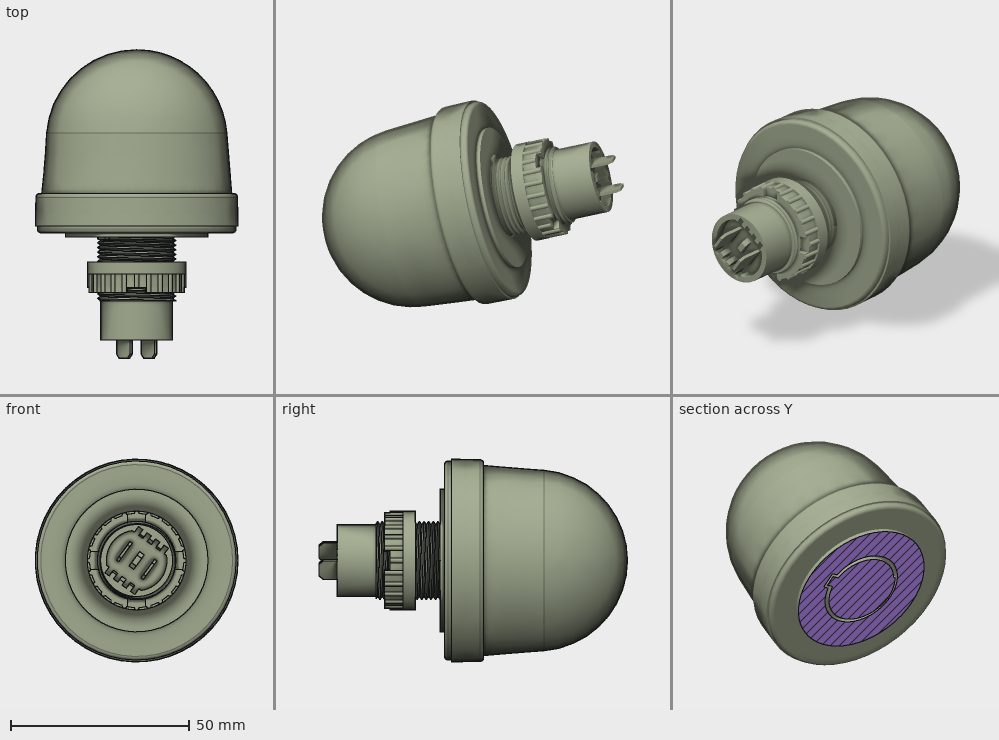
import cadquery as cq
import math


DOME_TOP = 52.53
DOME_RADIUS = 25.4
DOME_TAPER = math.radians(4.6)

DISC_RADIUS = 20.0
DISC_HEIGHT = 1.2
BASE_TOP = 12.2
BASE_TOP_RADIUS = 27.5
BASE_SHOULDER = 11.1
BASE_SHOULDER_RADIUS = 28.3
BASE_RADIUS = 28.45
BASE_LIP = 3.1
LIP_RADIUS = 55.8 / 2
LIP_FILLET = 1.0

THREAD_RADIUS = 11.0
THREAD_ROOT_RADIUS = 10.3
THREAD_PITCH = 1.3
THREAD_START = -0.33
THREAD_END_DEPTH = 18.0
THREAD_BASE_WIDTH = 1.25
THREAD_OVERLAP = 0.2

NUT_RADIUS = 27.7 / 2
NUT_START_DEPTH = 6.95
NUT_COLLAR_DEPTH = 10.4
NUT_END_DEPTH = 15.6
NUT_GRIP_RADIUS = 13.2
RIB_COUNT = 24
RIB_RADIUS = NUT_RADIUS - NUT_GRIP_RADIUS
NUT_SLOT_COUNT = 4
NUT_SLOT_WIDTH = 5.0
NUT_SLOT_HEIGHT = 1.5

SLEEVE_RADIUS = 20.2 / 2
SLEEVE_END_DEPTH = 28.9
SOCKET_DEPTH = 3.0
SOCKET_FLOOR_DEPTH = SLEEVE_END_DEPTH - SOCKET_DEPTH
SOCKET_RADIUS = 8.5
SOCKET_HALF_WIDTH = 6.05
GROOVE_COUNT = 4
GROOVE_PITCH = 2.95
GROOVE_WIDTH = 1.5
GROOVE_REACH = 8.0
MIDDLE_TOOTH_BEVEL = 1.0
SIDE_TOOTH_BEVEL = 0.5
TOOTH_BEVEL_DEPTH = 1.5
CONNECTOR_ANGLE = -36.0

OUTER_BLADE_OFFSET = 4.25
OUTER_BLADE_WIDTH = 6.4
OUTER_BLADE_THICKNESS = 0.8
OUTER_BLADE_END_DEPTH = 34.0
MIDDLE_BLADE_WIDTH = 5.0
MIDDLE_BLADE_THICKNESS = 1.6
MIDDLE_BLADE_END_DEPTH = 28.0
BLADE_BEVEL = 1.2

KEY_REACH = 12.2
KEY_WIDTH = 3.2
KEY_HEIGHT = 0.7

OPENING_RADIUS = 11.4
KEY_CLEARANCE = 0.7


def plane_at(depth):
    """Plane across the axis, facing -Y, with local x = X and local y = Z."""
    return cq.Workplane("XZ").workplane(offset=depth)


def cylinder(radius, start_depth, end_depth):
    return plane_at(start_depth).circle(radius).extrude(end_depth - start_depth)


def block(width, height, start_depth, end_depth, center=(0, 0)):
    return plane_at(start_depth).center(*center).rect(width, height).extrude(end_depth - start_depth)


def turned(shape, angle):
    """Turn a shape about the part's axis, counterclockwise as seen from -Y."""
    return shape.rotate((0, 0, 0), (0, -1, 0), angle)


def make_housing():
    """Dome, base ring and sealing disc as one revolved profile."""
    sphere_center = DOME_TOP - DOME_RADIUS
    tangent_radius = DOME_RADIUS * math.cos(DOME_TAPER)
    tangent_height = sphere_center + DOME_RADIUS * math.sin(DOME_TAPER)
    skirt_radius = tangent_radius + (tangent_height - BASE_TOP) * math.tan(DOME_TAPER)
    mid_angle = (math.pi / 2 + DOME_TAPER) / 2
    mid_point = (
        DOME_RADIUS * math.cos(mid_angle),
        sphere_center + DOME_RADIUS * math.sin(mid_angle),
    )
    profile = (
        cq.Workplane("XY")
        .moveTo(0, 0)
        .lineTo(DISC_RADIUS, 0)
        .lineTo(DISC_RADIUS, DISC_HEIGHT)
        .lineTo(LIP_RADIUS - LIP_FILLET, DISC_HEIGHT)
        .radiusArc((LIP_RADIUS, DISC_HEIGHT + LIP_FILLET), -LIP_FILLET)
        .lineTo(LIP_RADIUS, BASE_LIP)
        .lineTo(BASE_RADIUS, BASE_LIP)
        .lineTo(BASE_SHOULDER_RADIUS, BASE_SHOULDER)
        .radiusArc((BASE_TOP_RADIUS, BASE_TOP), -(BASE_TOP - BASE_SHOULDER))
        .lineTo(skirt_radius, BASE_TOP)
        .lineTo(tangent_radius, tangent_height)
        .threePointArc(mid_point, (0, DOME_TOP))
        .close()
    )
    return profile.revolve(360, (0, 0, 0), (0, 1, 0))


def make_thread():
    """Left-hand helical ridge of the neck, cut off square at the end of the thread."""
    length = THREAD_END_DEPTH + THREAD_PITCH - THREAD_START
    inner_radius = THREAD_ROOT_RADIUS - THREAD_OVERLAP
    helix = cq.Wire.makeHelix(THREAD_PITCH, length, inner_radius, lefthand=True)
    ridge = (
        cq.Workplane("XZ")
        .moveTo(inner_radius, -THREAD_BASE_WIDTH / 2)
        .lineTo(THREAD_RADIUS, 0)
        .lineTo(inner_radius, THREAD_BASE_WIDTH / 2)
        .close()
        .sweep(cq.Workplane(helix), isFrenet=True)
    )
    along_axis = ridge.rotate((0, 0, 0), (1, 0, 0), 90)
    placed = along_axis.translate((0, -THREAD_START, 0))
    return placed.intersect(cylinder(DISC_RADIUS, -DISC_HEIGHT, THREAD_END_DEPTH))


def make_nut():
    """Collar with a ribbed grip and wrench slots in its end face."""
    nut = cylinder(NUT_RADIUS, NUT_START_DEPTH, NUT_COLLAR_DEPTH)
    nut = nut.union(cylinder(NUT_GRIP_RADIUS, NUT_COLLAR_DEPTH, NUT_END_DEPTH))
    ribs = (
        plane_at(NUT_COLLAR_DEPTH)
        .polarArray(NUT_GRIP_RADIUS, 0, 360, RIB_COUNT)
        .circle(RIB_RADIUS)
        .extrude(NUT_END_DEPTH - NUT_COLLAR_DEPTH)
    )
    nut = nut.union(ribs)
    slot_start = NUT_END_DEPTH - NUT_SLOT_HEIGHT
    for index in range(NUT_SLOT_COUNT):
        slot = block(NUT_RADIUS, NUT_SLOT_WIDTH, slot_start, NUT_END_DEPTH, (NUT_RADIUS, 0))
        slot = slot.cut(cylinder(THREAD_ROOT_RADIUS, slot_start, NUT_END_DEPTH))
        nut = nut.cut(turned(slot, index * 360 / NUT_SLOT_COUNT))
    return nut


def make_key():
    key = block(KEY_REACH, KEY_WIDTH, -DISC_HEIGHT, KEY_HEIGHT, (-KEY_REACH / 2, 0))
    return turned(key, CONNECTOR_ANGLE)


def make_opening():
    """Hole through the sealing disc, with a notch that clears the key."""
    notch_reach = KEY_REACH + KEY_CLEARANCE
    notch_width = KEY_WIDTH + 2 * KEY_CLEARANCE
    notch = block(notch_reach, notch_width, -DISC_HEIGHT, 0, (-notch_reach / 2, 0))
    return cylinder(OPENING_RADIUS, -DISC_HEIGHT, 0).union(turned(notch, CONNECTOR_ANGLE))


def make_lead_in(bevel, offset):
    """Space that bevels two opposite teeth at the open end of the socket."""
    tooth_width = GROOVE_PITCH - GROOVE_WIDTH
    bevel_end = -SLEEVE_END_DEPTH + TOOTH_BEVEL_DEPTH
    half_opening = SOCKET_HALF_WIDTH + bevel
    profile = (
        cq.Workplane("YZ")
        .workplane(offset=offset)
        .moveTo(-SLEEVE_END_DEPTH, half_opening)
        .lineTo(bevel_end, SOCKET_HALF_WIDTH)
        .lineTo(bevel_end, -SOCKET_HALF_WIDTH)
        .lineTo(-SLEEVE_END_DEPTH, -half_opening)
        .close()
    )
    return profile.extrude(tooth_width / 2, both=True)


def make_socket():
    """Cavity of the sleeve: a round pocket with two flat sides, each with coding grooves."""
    socket = cylinder(SOCKET_RADIUS, SOCKET_FLOOR_DEPTH, SLEEVE_END_DEPTH)
    socket = socket.intersect(
        block(2 * SOCKET_RADIUS, 2 * SOCKET_HALF_WIDTH, SOCKET_FLOOR_DEPTH, SLEEVE_END_DEPTH)
    )
    for index in range(GROOVE_COUNT):
        offset = (index - (GROOVE_COUNT - 1) / 2) * GROOVE_PITCH
        groove = block(GROOVE_WIDTH, 2 * GROOVE_REACH, SOCKET_FLOOR_DEPTH, SLEEVE_END_DEPTH, (offset, 0))
        socket = socket.union(groove)
    for index in range(-(GROOVE_COUNT // 2 - 1), GROOVE_COUNT // 2):
        bevel = MIDDLE_TOOTH_BEVEL if index == 0 else SIDE_TOOTH_BEVEL
        socket = socket.union(make_lead_in(bevel, index * GROOVE_PITCH))
    return socket


def make_blade(thickness, width, end_depth, offset):
    """Contact blade standing on the socket floor, with both tip corners beveled."""
    half_width = width / 2
    blade = (
        cq.Workplane("YZ")
        .workplane(offset=offset)
        .moveTo(-SOCKET_FLOOR_DEPTH, -half_width)
        .lineTo(-end_depth + BLADE_BEVEL, -half_width)
        .lineTo(-end_depth, -half_width + BLADE_BEVEL)
        .lineTo(-end_depth, half_width - BLADE_BEVEL)
        .lineTo(-end_depth + BLADE_BEVEL, half_width)
        .lineTo(-SOCKET_FLOOR_DEPTH, half_width)
        .close()
    )
    return blade.extrude(thickness / 2, both=True)


def make_connector():
    """Sleeve with its socket and three blades."""
    connector = cylinder(SLEEVE_RADIUS, -DISC_HEIGHT, SLEEVE_END_DEPTH).cut(make_socket())
    connector = connector.union(
        make_blade(MIDDLE_BLADE_THICKNESS, MIDDLE_BLADE_WIDTH, MIDDLE_BLADE_END_DEPTH, 0)
    )
    for offset in (-OUTER_BLADE_OFFSET, OUTER_BLADE_OFFSET):
        connector = connector.union(
            make_blade(OUTER_BLADE_THICKNESS, OUTER_BLADE_WIDTH, OUTER_BLADE_END_DEPTH, offset)
        )
    return turned(connector, CONNECTOR_ANGLE)


neck = cylinder(THREAD_ROOT_RADIUS, -DISC_HEIGHT, THREAD_END_DEPTH).union(make_thread())

housing = make_housing().cut(make_opening())
result = housing.union(neck).union(make_nut()).union(make_key()).union(make_connector())